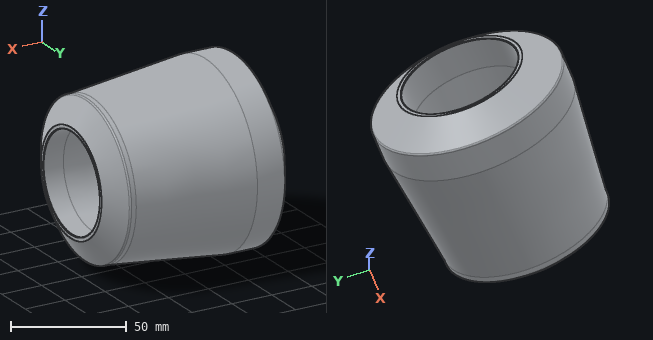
import cadquery as cq
import math

length = 90.0
large_diameter = 88.9
small_diameter = 76.1
large_bore = 53.9
small_bore = 47.7
large_land = 2.0
small_land = 2.0
bevel_angle = 30.0
bevel_edge_radius = 1.0
mouth_chamfer = 0.3
taper_start = 23.0
taper_end = 80.0
bore_taper_start = 14.8

large_radius = large_diameter / 2
small_radius = small_diameter / 2
large_face_radius = large_bore / 2 + large_land
small_face_radius = small_bore / 2 + small_land
bevel_slope = math.tan(math.radians(bevel_angle))
large_bevel_length = (large_radius - large_face_radius) * bevel_slope
small_bevel_length = (small_radius - small_face_radius) * bevel_slope


def revolve_about_x(points):
    """Revolve a closed (x, radius) outline about the X axis."""
    return cq.Workplane("XY").polyline(points).close().revolve(360, (0, 0, 0), (1, 0, 0))


body = revolve_about_x([
    (0, 0),
    (0, large_face_radius),
    (large_bevel_length, large_radius),
    (taper_start, large_radius),
    (taper_end, small_radius),
    (length - small_bevel_length, small_radius),
    (length, small_face_radius),
    (length, 0),
])

edge_tolerance = 0.1
for bevel_edge_x in (large_bevel_length, length - small_bevel_length):
    edge_zone = cq.selectors.BoxSelector(
        (bevel_edge_x - edge_tolerance, -large_diameter, -large_diameter),
        (bevel_edge_x + edge_tolerance, large_diameter, large_diameter),
        boundingbox=True,
    )
    body = body.edges(edge_zone).fillet(bevel_edge_radius)

bore = revolve_about_x([
    (0, 0),
    (0, large_bore / 2 + mouth_chamfer),
    (mouth_chamfer, large_bore / 2),
    (bore_taper_start, large_bore / 2),
    (taper_end, small_bore / 2),
    (length - mouth_chamfer, small_bore / 2),
    (length, small_bore / 2 + mouth_chamfer),
    (length, 0),
])

result = body.cut(bore)